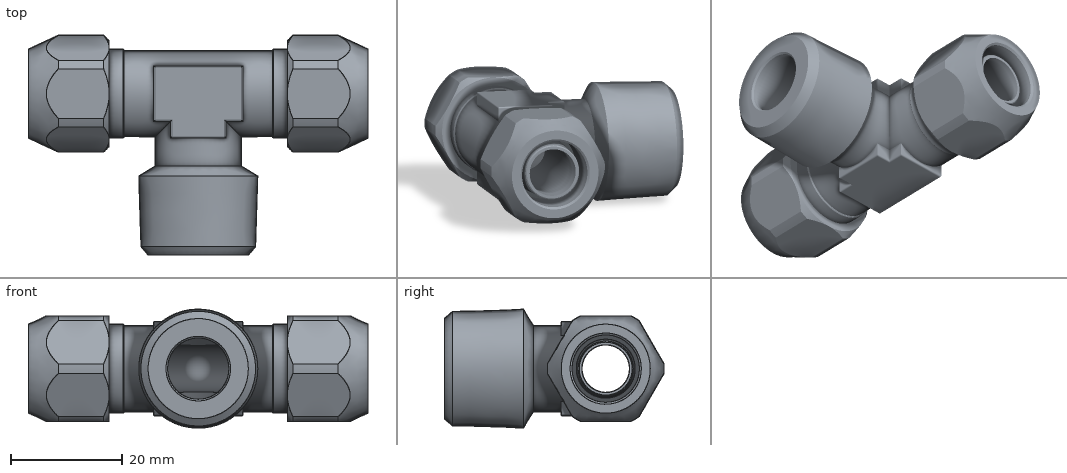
import cadquery as cq
import math


run_half_length = 30.5
run_diameter = 15.5
collar_diameter = 16.0
collar_end = 13.3
collar_chamfer = 0.2
through_bore_diameter = 8.5

nut_across_flats = 19.0
nut_corner_diameter = 21.0
nut_length = 14.5
nut_face_diameter = 16.0
nut_front_taper_angle = 25.0
nut_back_chamfer = 1.0
nut_inner_end = run_half_length - nut_length

socket_diameter = 12.1
socket_mouth_chamfer = 0.35
socket_depth = 9.5
sleeve_root_diameter = 10.6
sleeve_tip_diameter = 9.9
sleeve_tip_chamfer = 0.2
sleeve_recess = 1.9

branch_diameter = 15.5
branch_length = 29.0
shoulder_start = 13.0
thread_start = 14.8
thread_start_diameter = 21.4
thread_taper = 1 / 16
thread_tip_length = 1.5
thread_tip_diameter = 18.0
branch_bore_diameter = 11.0
branch_bore_chamfer = 0.3
drill_point_angle = 118.0

pad_half_height = 8.5
pad_half_width = 8.0
pad_half_depth = 5.0
pad_tongue_half_width = 5.0
pad_tongue_reach = 8.0
pad_edge_radius = 0.25


def run_solid(profile):
    """Revolve an (x, radius) profile around the X axis."""
    return cq.Workplane("XY").polyline(profile).close().revolve(360, (0, 0, 0), (1, 0, 0))


def branch_solid(profile):
    """Revolve a (radius, distance along -Y) profile around the Y axis."""
    points = [(radius, -distance) for radius, distance in profile]
    return cq.Workplane("XY").polyline(points).close().revolve(360, (0, 0, 0), (0, 1, 0))


def x_cylinder(diameter, half_length):
    """Cylinder along the X axis, centred on the branch axis."""
    return cq.Workplane("YZ").circle(diameter / 2).extrude(half_length, both=True)


def make_collar():
    """Right-hand collar that emerges from the nut."""
    collar_radius = collar_diameter / 2
    return run_solid([
        (collar_end, 0),
        (collar_end, collar_radius - collar_chamfer),
        (collar_end + collar_chamfer, collar_radius),
        (nut_inner_end, collar_radius),
        (nut_inner_end, 0),
    ])


def make_nut():
    """Right-hand hexagon nut with turned corners, tapered front and chamfered back."""
    corner_radius = nut_corner_diameter / 2
    face_radius = nut_face_diameter / 2
    taper_length = (corner_radius - face_radius) / math.tan(math.radians(nut_front_taper_angle))
    turned = run_solid([
        (nut_inner_end, 0),
        (nut_inner_end, corner_radius - nut_back_chamfer),
        (nut_inner_end + nut_back_chamfer, corner_radius),
        (run_half_length - taper_length, corner_radius),
        (run_half_length, face_radius),
        (run_half_length, 0),
    ])
    hexagon_diameter = nut_across_flats / math.cos(math.pi / 6)
    hexagon = (
        cq.Workplane("YZ")
        .workplane(offset=nut_inner_end)
        .polygon(6, hexagon_diameter)
        .extrude(nut_length)
    )
    return turned.intersect(hexagon)


def make_tube_socket():
    """Right-hand annular cavity between the nut and the tapered support sleeve."""
    socket_radius = socket_diameter / 2
    sleeve_tip_radius = sleeve_tip_diameter / 2
    socket_floor = run_half_length - socket_depth
    sleeve_end = run_half_length - sleeve_recess
    return run_solid([
        (socket_floor, socket_radius),
        (run_half_length - socket_mouth_chamfer, socket_radius),
        (run_half_length, socket_radius + socket_mouth_chamfer),
        (run_half_length, 0),
        (sleeve_end, 0),
        (sleeve_end, sleeve_tip_radius - sleeve_tip_chamfer),
        (sleeve_end - sleeve_tip_chamfer, sleeve_tip_radius),
        (socket_floor, sleeve_root_diameter / 2),
    ])


def make_branch():
    """Branch neck, conical shoulder and tapered thread body."""
    neck_radius = branch_diameter / 2
    thread_end = branch_length - thread_tip_length
    thread_start_radius = thread_start_diameter / 2
    thread_end_radius = thread_start_radius - (thread_end - thread_start) * thread_taper / 2
    return branch_solid([
        (0, 0),
        (neck_radius, 0),
        (neck_radius, shoulder_start),
        (thread_start_radius, thread_start),
        (thread_end_radius, thread_end),
        (thread_tip_diameter / 2, branch_length),
        (0, branch_length),
    ])


def make_branch_bore():
    """Drilled branch bore: full diameter to the run axis, then the drill point."""
    bore_radius = branch_bore_diameter / 2
    point_depth = bore_radius / math.tan(math.radians(drill_point_angle / 2))
    return branch_solid([
        (0, -point_depth),
        (bore_radius, 0),
        (bore_radius, branch_length - branch_bore_chamfer),
        (bore_radius + branch_bore_chamfer, branch_length),
        (0, branch_length),
    ])


def make_pads():
    """T-shaped block whose top and bottom stand proud of the run as flat pads."""
    block = (
        cq.Workplane("XY")
        .workplane(offset=-pad_half_height)
        .moveTo(-pad_half_width, pad_half_depth)
        .lineTo(pad_half_width, pad_half_depth)
        .lineTo(pad_half_width, -pad_half_depth)
        .lineTo(pad_tongue_half_width, -pad_half_depth)
        .lineTo(pad_tongue_half_width, -pad_tongue_reach)
        .lineTo(-pad_tongue_half_width, -pad_tongue_reach)
        .lineTo(-pad_tongue_half_width, -pad_half_depth)
        .lineTo(-pad_half_width, -pad_half_depth)
        .close()
        .extrude(2 * pad_half_height)
    )
    return block.faces("|Z").edges().fillet(pad_edge_radius)


def on_both_ends(feature):
    """Join a right-hand run feature with its mirror image on the left."""
    return feature.union(feature.mirror("YZ"))


body = x_cylinder(run_diameter, nut_inner_end)
body = body.union(on_both_ends(make_collar().union(make_nut())))
body = body.union(make_branch()).union(make_pads())
body = body.cut(x_cylinder(through_bore_diameter, run_half_length))
result = body.cut(on_both_ends(make_tube_socket())).cut(make_branch_bore())